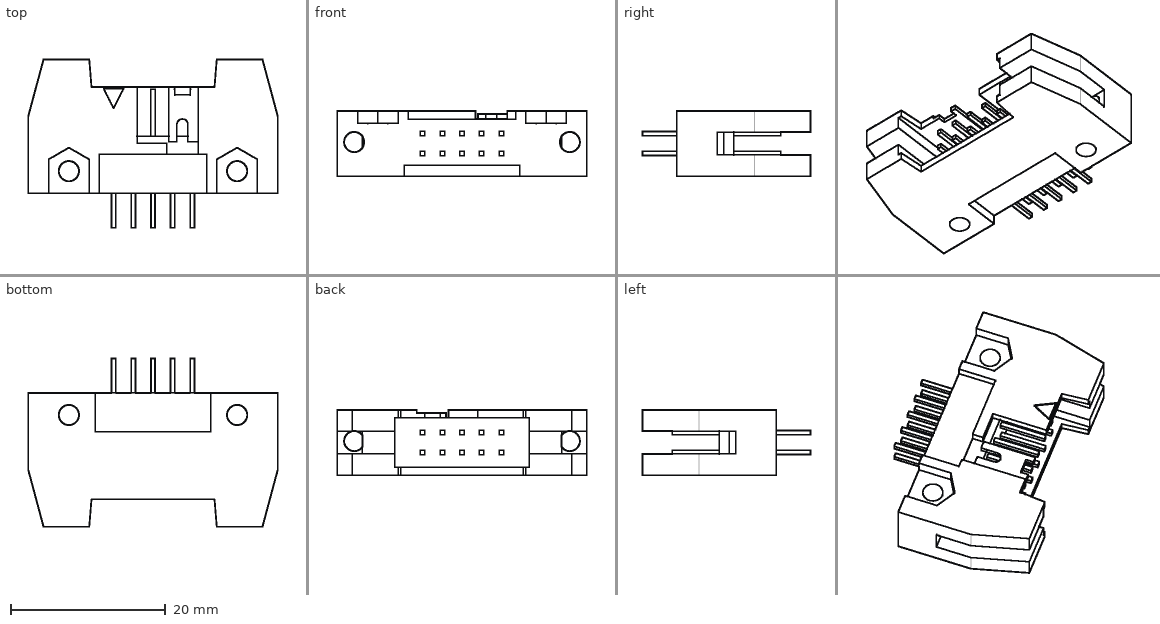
import cadquery as cq
import math


length = 32.3
height = 8.5
arm_tip_y = 17.35
shoulder_y = 10.0
arm_outer_tip_x = 14.18
arm_inner_tip_x = 8.25
arm_inner_root_x = 7.95
mouth_y = 13.8
half_length = length / 2
top_z = height / 2

wall = 1.03
cavity_width = 17.45
cavity_floor_y = 7.4
slot_height = 2.95
slot_floor_y = 6.1
deep_slot_floor_y = 5.25
deep_slot_start_x = 12.9

pin_size = 0.58
pin_pitch = 2.55
pin_columns = 5
pin_tail = 4.45
pin_tip_y = 13.47

recess_depth_y = 5.05
top_recess_width = 13.9
top_recess_depth = 1.13
bottom_recess_width = 14.92
bottom_recess_depth = 1.42

hole_diameter = 2.6
nut_flats = 5.25
nut_depth = 1.65
nut_x = 10.9
nut_y = 2.87
latch_hole_x = 13.95
latch_hole_z = 0.2

window_half_width = 2.07
window_end_y = 6.45
channel_start_x = 1.78
channel_end_x = 5.85
tongue_drop = 0.42
tongue_root_y = 6.7
tongue_slot_x = 3.8
tongue_slot_width = 1.42
tongue_slot_end_y = 9.63
tip_notch_width = 2.05
tip_notch_depth = 1.03

arrow_width = 2.6
arrow_length = 2.55
arrow_base_y = 13.55
arrow_depth = 0.2


def box(x0, x1, y0, y1, z0, z1):
    """Block between opposite corner coordinates."""
    return cq.Workplane("XY").box(x1 - x0, y1 - y0, z1 - z0, centered=False).translate((x0, y0, z0))


def prism(points, z0, z1):
    """Vertical prism on a closed XY outline."""
    return cq.Workplane("XY").workplane(offset=z0).polyline(points).close().extrude(z1 - z0)


def housing():
    """Full-height body with two tapered arms beside the mouth."""
    right_side = [
        (half_length, 0),
        (half_length, shoulder_y),
        (arm_outer_tip_x, arm_tip_y),
        (arm_inner_tip_x, arm_tip_y),
        (arm_inner_root_x, mouth_y),
    ]
    left_side = [(-x, y) for x, y in reversed(right_side)]
    return prism(right_side + left_side, -top_z, top_z)


def mating_cavity():
    """Connector cavity joined to the stepped latch slots at both ends."""
    half_width = cavity_width / 2
    half_slot = slot_height / 2
    cavity = box(-half_width, half_width, cavity_floor_y, arm_tip_y, wall - top_z, top_z - wall)
    slot = box(-deep_slot_start_x, deep_slot_start_x, slot_floor_y, arm_tip_y, -half_slot, half_slot)
    slot = slot.cut(box(-half_width, half_width, 0, cavity_floor_y, -half_slot, half_slot))
    cavity = cavity.union(slot)
    for x0, x1 in ((-half_length, -deep_slot_start_x), (deep_slot_start_x, half_length)):
        cavity = cavity.union(box(x0, x1, deep_slot_floor_y, arm_tip_y, -half_slot, half_slot))
    return cavity


def board_side_recesses():
    """Shallow recesses in the top and bottom along the board-side face."""
    half_top = top_recess_width / 2
    half_bottom = bottom_recess_width / 2
    upper = box(-half_top, half_top, 0, recess_depth_y, top_z - top_recess_depth, top_z)
    lower = box(-half_bottom, half_bottom, 0, recess_depth_y, -top_z, bottom_recess_depth - top_z)
    return upper.union(lower)


def nut_pocket(x):
    """Hexagonal pocket open to the board side, with a through hole."""
    half_flats = nut_flats / 2
    apex_y = nut_y + nut_flats / math.sqrt(3)
    corner_y = nut_y + half_flats / math.sqrt(3)
    outline = [
        (x - half_flats, 0),
        (x + half_flats, 0),
        (x + half_flats, corner_y),
        (x, apex_y),
        (x - half_flats, corner_y),
    ]
    hole = cq.Workplane("XY").circle(hole_diameter / 2).extrude(height).translate((x, nut_y, -top_z))
    return prism(outline, top_z - nut_depth, top_z).union(hole)


def latch_hole(x):
    """Hole from the board-side face to the deep latch slot."""
    hole = cq.Workplane("XZ").circle(hole_diameter / 2).extrude(-deep_slot_floor_y)
    return hole.translate((x, 0, latch_hole_z))


def key_openings():
    """Key window, the channel above the tongue, and the tongue's own cut-outs."""
    tongue_bottom_z = top_z - wall
    tongue_top_z = top_z - tongue_drop
    window = box(-window_half_width, window_half_width, window_end_y, mouth_y, tongue_bottom_z, top_z)
    root = box(channel_start_x, channel_end_x, recess_depth_y, tongue_root_y, tongue_bottom_z, top_z)
    channel = box(window_half_width, channel_end_x, tongue_root_y, mouth_y, tongue_top_z, top_z)

    slot_radius = tongue_slot_width / 2
    slot_arc_y = tongue_slot_end_y - slot_radius
    slot = box(
        tongue_slot_x - slot_radius, tongue_slot_x + slot_radius,
        tongue_root_y, slot_arc_y, tongue_bottom_z, top_z,
    )
    slot_end = cq.Workplane("XY").circle(slot_radius).extrude(wall)
    slot_end = slot_end.translate((tongue_slot_x, slot_arc_y, tongue_bottom_z))

    tip_notch = box(
        tongue_slot_x - tip_notch_width / 2, tongue_slot_x + tip_notch_width / 2,
        mouth_y - tip_notch_depth, mouth_y, tongue_bottom_z, top_z,
    )
    return window.union(root).union(channel).union(slot).union(slot_end).union(tip_notch)


def pin_one_arrow(x):
    """Sunken triangle pointing back along the first pin column."""
    outline = [
        (x - arrow_width / 2, arrow_base_y),
        (x + arrow_width / 2, arrow_base_y),
        (x, arrow_base_y - arrow_length),
    ]
    return prism(outline, top_z - arrow_depth, top_z)


def pin(x, z):
    """Straight square pin from its tail to its tip in the cavity."""
    half = pin_size / 2
    return box(x - half, x + half, -pin_tail, pin_tip_y, z - half, z + half)


first_pin_x = -pin_pitch * (pin_columns - 1) / 2

result = housing().cut(mating_cavity()).cut(board_side_recesses()).cut(key_openings())
result = result.cut(pin_one_arrow(first_pin_x))

for side in (-1, 1):
    result = result.cut(nut_pocket(side * nut_x))
    result = result.cut(latch_hole(side * latch_hole_x))

for column in range(pin_columns):
    for row_z in (-pin_pitch / 2, pin_pitch / 2):
        result = result.union(pin(first_pin_x + column * pin_pitch, row_z))